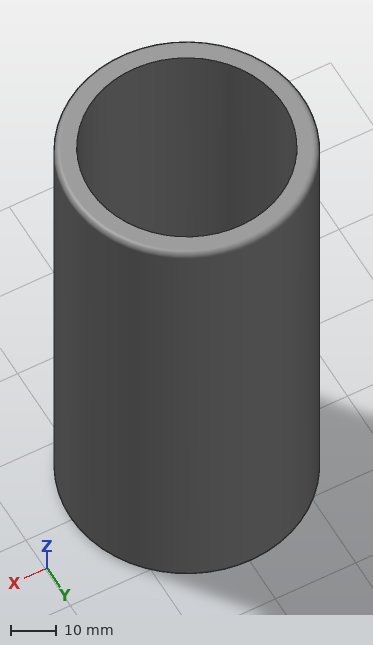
import cadquery as cq

length = 120.0
outer_diameter = 58.0
bore_diameter = 48.0
edge_radius = 1.5

outer_body = cq.Workplane("XY").circle(outer_diameter / 2).extrude(length)
rounded_body = outer_body.faces("<Z or >Z").edges().fillet(edge_radius)

bore = cq.Workplane("XY").circle(bore_diameter / 2).extrude(length)

result = rounded_body.cut(bore)